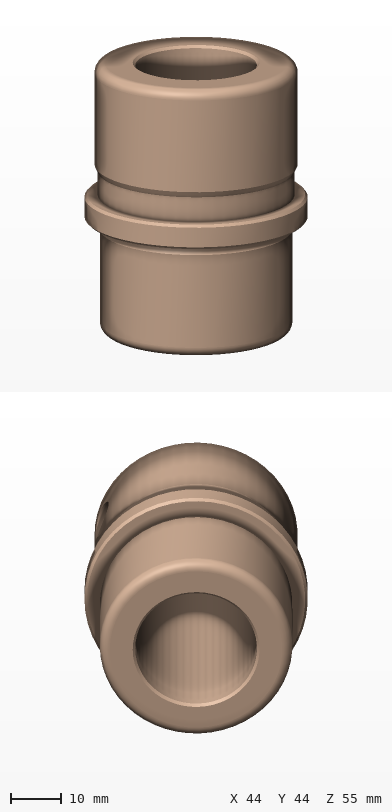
import cadquery as cq

height = 55.0
flange_bottom = 23.0
flange_top = 28.0
neck_top = 33.0
upper_bottom = 34.2
relief_bottom = 21.0

upper_radius = 20.0
neck_radius = 19.4
flange_radius = 22.0
lower_radius = 19.0
relief_radius = 18.2
relief_mid_inset = 0.6

end_rounding = 2.0
flange_chamfer = 0.5
bore_chamfer = 0.5

sleeve_radius = 14.0
bore_radius = 12.0
side_hole_radius = 4.0
side_hole_height = 46.0


def side_hole():
    """Radial cylinder running from the axis out through the +Y wall."""
    return (
        cq.Workplane("XZ")
        .center(0, side_hole_height)
        .circle(side_hole_radius)
        .extrude(-flange_radius)
    )


def make_housing():
    """Stepped, flanged outer body, revolved about Z."""
    relief_mid_height = (relief_bottom + flange_bottom) / 2
    profile = (
        cq.Workplane("XZ")
        .moveTo(sleeve_radius, 0)
        .lineTo(lower_radius - end_rounding, 0)
        .radiusArc((lower_radius, end_rounding), -end_rounding)
        .lineTo(lower_radius, relief_bottom)
        .threePointArc(
            (lower_radius - relief_mid_inset, relief_mid_height),
            (relief_radius, flange_bottom),
        )
        .lineTo(flange_radius - flange_chamfer, flange_bottom)
        .lineTo(flange_radius, flange_bottom + flange_chamfer)
        .lineTo(flange_radius, flange_top - flange_chamfer)
        .lineTo(flange_radius - flange_chamfer, flange_top)
        .lineTo(neck_radius, flange_top)
        .lineTo(neck_radius, neck_top)
        .lineTo(upper_radius, upper_bottom)
        .lineTo(upper_radius, height - end_rounding)
        .radiusArc((upper_radius - end_rounding, height), -end_rounding)
        .lineTo(sleeve_radius, height)
        .close()
    )
    return profile.revolve(360, (0, 0, 0), (0, 1, 0)).cut(side_hole())


def make_sleeve():
    """Plain bearing liner filling the housing, chamfered at both bore ends."""
    tube = cq.Workplane("XY").circle(sleeve_radius).circle(bore_radius).extrude(height)
    bore_edges = cq.selectors.RadiusNthSelector(0)
    return tube.faces("<Z or >Z").edges(bore_edges).chamfer(bore_chamfer).cut(side_hole())


housing = make_housing()
sleeve = make_sleeve()

result = cq.Compound.makeCompound([housing.val(), sleeve.val()])